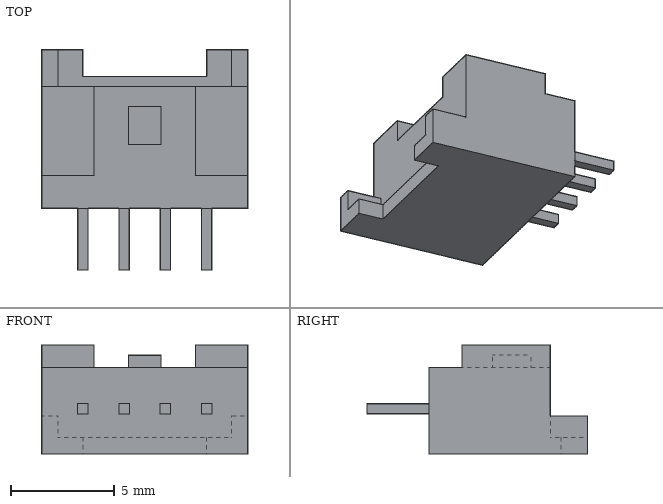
import cadquery as cq

housing_width = 10.0
housing_length = 5.9
housing_height = 4.2

overall_height = 5.3
block_width = 2.55
block_setback = 1.6

key_width = 1.6
key_length = 1.85
key_setback = 3.1
key_top = 4.8

shroud_length = 1.8
shroud_wall_height = 1.85
wall_thickness = 0.8
floor_thickness = wall_thickness
notch_width = 6.0
notch_depth = 1.3

pin_count = 4
pin_pitch = 2.0
pin_size = 0.5
pin_length = 3.0
pin_axis_height = 2.2


def box(x_center, y_start, z_start, width, length, height):
    """Box centred on x_center, growing toward +Y and +Z from its start corner."""
    return (
        cq.Workplane("XY")
        .box(width, length, height, centered=(True, False, False))
        .translate((x_center, y_start, z_start))
    )


def make_housing():
    return box(0, 0, 0, housing_width, housing_length, housing_height)


def make_roof_block(side):
    x_center = side * (housing_width - block_width) / 2
    block_length = housing_length - block_setback
    return box(x_center, block_setback, 0, block_width, block_length, overall_height)


def make_key():
    return box(0, key_setback, 0, key_width, key_length, key_top)


def make_shroud():
    shroud = box(0, housing_length, 0, housing_width, shroud_length, floor_thickness)
    for side in (-1, 1):
        x_center = side * (housing_width - wall_thickness) / 2
        wall = box(x_center, housing_length, 0, wall_thickness, shroud_length, shroud_wall_height)
        shroud = shroud.union(wall)
    notch_start = housing_length + shroud_length - notch_depth
    notch = box(0, notch_start, 0, notch_width, notch_depth, floor_thickness)
    return shroud.cut(notch)


def make_pin(index):
    x_center = (index - (pin_count - 1) / 2) * pin_pitch
    z_start = pin_axis_height - pin_size / 2
    return box(x_center, -pin_length, z_start, pin_size, pin_length, pin_size)


result = make_housing().union(make_key()).union(make_shroud())
for side in (-1, 1):
    result = result.union(make_roof_block(side))
for index in range(pin_count):
    result = result.union(make_pin(index))